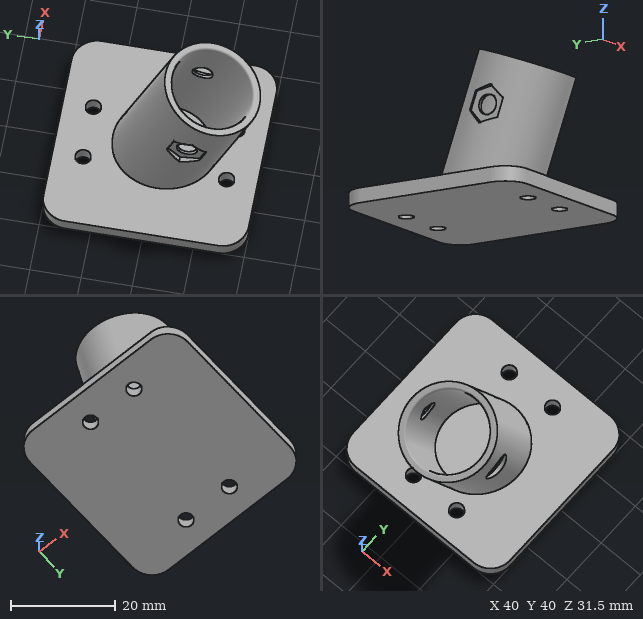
import cadquery as cq
import math

plate_side = 40.0
plate_thickness = 3.0
corner_radius = 5.0
screw_hole_diameter = 3.0
screw_spacing_x = 11.0
screw_spacing_y = 28.0

tilt_degrees = 20.0
tube_diameter = 19.5
bore_diameter = 16.5
tube_length = 30.0
rim_fillet = 0.5

bolt_height = 20.0
bolt_diameter = 4.0
nut_across_flats = 6.7
nut_across_corners = nut_across_flats / math.cos(math.radians(30))
head_diameter = 5.8
seat_depth = 1.0


def tilted(shape):
    """Lean an upright shape towards -Y about the plate underside centre."""
    return shape.rotate((0, 0, 0), (1, 0, 0), tilt_degrees)


def above_plate():
    """Block covering all the space above the plate's top face."""
    reach = 2 * plate_side
    return cq.Workplane("XY").workplane(offset=plate_thickness).rect(reach, reach).extrude(reach)


def make_plate():
    plate = cq.Workplane("XY").box(plate_side, plate_side, plate_thickness, centered=(True, True, False))
    plate = plate.edges("|Z").fillet(corner_radius)
    return (
        plate.faces(">Z").workplane()
        .rect(screw_spacing_x, screw_spacing_y, forConstruction=True)
        .vertices()
        .hole(screw_hole_diameter)
    )


def make_tube():
    """Upright tube with a rounded inner rim and the cross-bolt cuts."""
    tube = cq.Workplane("XY").circle(tube_diameter / 2).circle(bore_diameter / 2).extrude(tube_length)
    tube = tube.faces(">Z").edges(cq.selectors.RadiusNthSelector(0)).fillet(rim_fillet)

    bolt_plane = cq.Workplane("YZ", origin=(0, 0, bolt_height))
    seat_distance = tube_diameter / 2 - seat_depth
    bolt = bolt_plane.circle(bolt_diameter / 2).extrude(tube_diameter, both=True)
    nut = (
        bolt_plane.workplane(offset=-seat_distance)
        .transformed(rotate=(0, 0, 90))
        .polygon(6, nut_across_corners)
        .extrude(-tube_diameter)
    )
    head = bolt_plane.workplane(offset=seat_distance).circle(head_diameter / 2).extrude(tube_diameter)
    return tube.cut(bolt).cut(nut).cut(head)


result = make_plate().union(tilted(make_tube()).intersect(above_plate()))